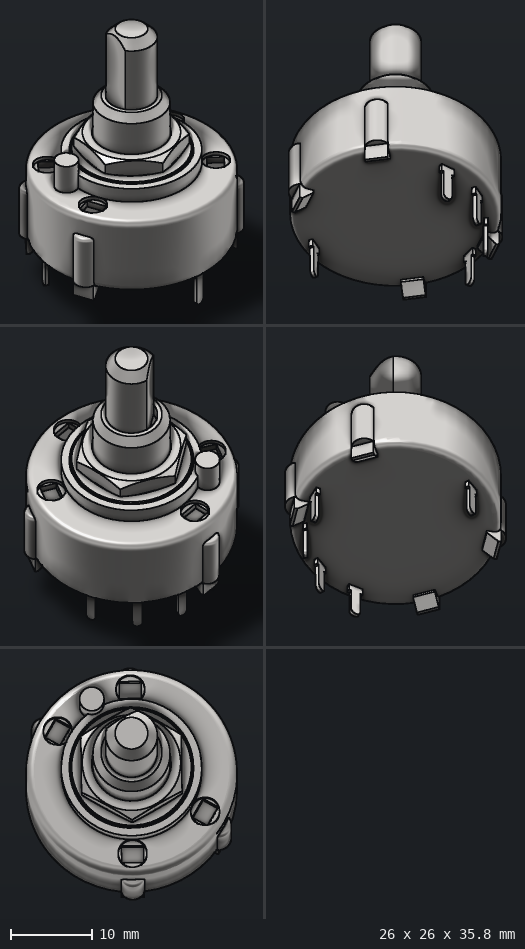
import cadquery as cq
import math


overall_height = 35.8
pin_length = 5.35
body_height = 10.55
flange_top = 12.53
washer_top = 12.67
nut_top = 15.07
bushing_top = 20.55
shaft_top = overall_height - pin_length

body_diameter = 26.0
body_edge_radius = 1.0
flange_diameter = 17.3
washer_diameter = 15.0
washer_seat_diameter = 15.3
washer_seat_depth = 0.35
washer_chamfer = 0.15

nut_across_flats = 12.35
nut_chamfer_diameter = 12.1
nut_chamfer_angle = 27.0
nut_bore_diameter = 9.75
bushing_diameter = 9.5
bushing_chamfer = 1.0

shaft_diameter = 6.37
shaft_chamfer = 1.18
shaft_flat_distance = 2.33
flat_runout = 1.8

peg_diameter = 3.0
peg_offset = 9.52
peg_top = 14.45

clip_angles = (60, 120, 240, 300)
boss_offset = 12.28
boss_radius = 1.58
boss_bottom = 0.5
boss_top = 7.6
boss_edge_radius = 0.55
foot_width = 2.83
foot_bottom = -1.72
foot_outer = body_diameter / 2
foot_inner = 11.17
foot_tip_inner = 12.6
foot_slope_start = -0.4

recess_diameter = 3.55
recess_depth = 0.5
recess_offset = 10.38
window_width = 2.72
window_length = 2.15
window_depth = 0.85

pin_angles = (15, 165, 195, 225, 255)
pin_offset = 11.1
pin_thickness = 0.5
pin_width = 1.25
shoulder_width = 1.85
shoulder_length = 1.07
embed = 0.7


def cylinder(diameter, bottom, top):
    return cq.Workplane("XY").workplane(offset=bottom).circle(diameter / 2).extrude(top - bottom)


def turned(shape, angle):
    """Turn a shape made on the +X side to its angle about the switch axis."""
    return shape.rotate((0, 0, 0), (0, 0, 1), angle)


def make_body():
    body = cylinder(body_diameter, 0, body_height).edges().fillet(body_edge_radius)
    flange = cylinder(flange_diameter, body_height - embed, flange_top)
    seat = cylinder(washer_seat_diameter, flange_top - washer_seat_depth, flange_top)
    washer = cylinder(washer_diameter, flange_top - washer_seat_depth, washer_top)
    washer = washer.faces(">Z").chamfer(washer_chamfer)
    return body.union(flange).cut(seat).union(washer)


def make_nut():
    thickness = nut_top - washer_top
    across_corners = nut_across_flats / math.cos(math.radians(30))
    hexagon = (
        cq.Workplane("XY").workplane(offset=washer_top)
        .polygon(6, across_corners).extrude(thickness)
    )
    cone_rise = thickness / 2
    rim_radius = nut_chamfer_diameter / 2
    wide_radius = rim_radius + cone_rise / math.tan(math.radians(nut_chamfer_angle))
    trimmer = (
        cq.Workplane("XZ")
        .moveTo(0, washer_top)
        .lineTo(rim_radius, washer_top)
        .lineTo(wide_radius, washer_top + cone_rise)
        .lineTo(rim_radius, nut_top)
        .lineTo(0, nut_top)
        .close()
        .revolve(360, (0, 0, 0), (0, 1, 0))
    )
    return hexagon.intersect(trimmer).cut(cylinder(nut_bore_diameter, washer_top, nut_top))


def make_bushing():
    bushing = cylinder(bushing_diameter, flange_top, bushing_top)
    return bushing.faces(">Z").chamfer(bushing_chamfer)


def make_shaft():
    shaft = cylinder(shaft_diameter, bushing_top, shaft_top)
    return shaft.faces(">Z").chamfer(shaft_chamfer)


def make_flat_cutter():
    """Segment of the shaft outside the flat, running down into the bushing bore."""
    flat_bottom = bushing_top - flat_runout
    beyond_flat = (
        cq.Workplane("XY")
        .box(shaft_diameter, shaft_diameter, shaft_top - flat_bottom, centered=(True, True, False))
        .translate((0, -shaft_flat_distance - shaft_diameter / 2, flat_bottom))
    )
    return cylinder(shaft_diameter, flat_bottom, shaft_top).intersect(beyond_flat)


def make_clip():
    boss = (
        cylinder(2 * boss_radius, boss_bottom, boss_top)
        .faces(">Z").edges().fillet(boss_edge_radius)
        .translate((boss_offset, 0, 0))
    )
    foot = (
        cq.Workplane("XZ")
        .moveTo(foot_inner, boss_bottom)
        .lineTo(foot_inner, foot_slope_start)
        .lineTo(foot_tip_inner, foot_bottom)
        .lineTo(foot_outer, foot_bottom)
        .lineTo(foot_outer, boss_bottom)
        .close()
        .extrude(foot_width / 2, both=True)
    )
    return boss.union(foot)


def make_clip_recess():
    recess_floor = body_height - recess_depth
    recess = cylinder(recess_diameter, recess_floor, body_height)
    window = (
        cq.Workplane("XY").workplane(offset=recess_floor)
        .rect(window_length, window_width).extrude(-window_depth)
    )
    return recess.union(window).translate((recess_offset, 0, 0))


def make_pin():
    tip_start = pin_width / 2 - pin_length
    return (
        cq.Workplane("YZ").workplane(offset=pin_offset - pin_thickness / 2)
        .moveTo(-shoulder_width / 2, embed)
        .lineTo(-shoulder_width / 2, -shoulder_length)
        .lineTo(-pin_width / 2, -shoulder_length)
        .lineTo(-pin_width / 2, tip_start)
        .threePointArc((0, -pin_length), (pin_width / 2, tip_start))
        .lineTo(pin_width / 2, -shoulder_length)
        .lineTo(shoulder_width / 2, -shoulder_length)
        .lineTo(shoulder_width / 2, embed)
        .close()
        .extrude(pin_thickness)
    )


def make_peg():
    return cylinder(peg_diameter, body_height - embed, peg_top).translate((0, -peg_offset, 0))


result = make_body().union(make_nut()).union(make_bushing()).union(make_shaft())
result = result.cut(make_flat_cutter())

for angle in clip_angles:
    result = result.union(turned(make_clip(), angle))
    result = result.cut(turned(make_clip_recess(), angle))

for angle in pin_angles:
    result = result.union(turned(make_pin(), angle))

result = result.union(make_peg())